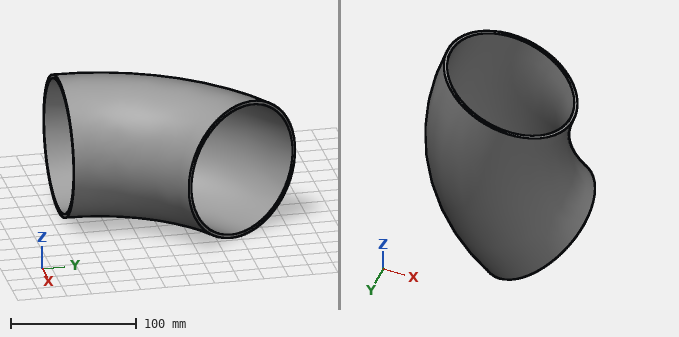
import cadquery as cq

outer_diameter = 114.3
wall_thickness = 2.9
bend_radius = 152.5
bend_angle = 60.0

outer_radius = outer_diameter / 2
inner_radius = outer_radius - wall_thickness


def make_elbow():
    """Sweep the pipe ring, centred on the origin, about the bend axis parallel to Z."""
    ring = cq.Workplane("XZ").circle(outer_radius).circle(inner_radius)
    axis_start = (bend_radius, 0)
    axis_end = (bend_radius, -1)
    return ring.revolve(bend_angle, axis_start, axis_end)


result = make_elbow()